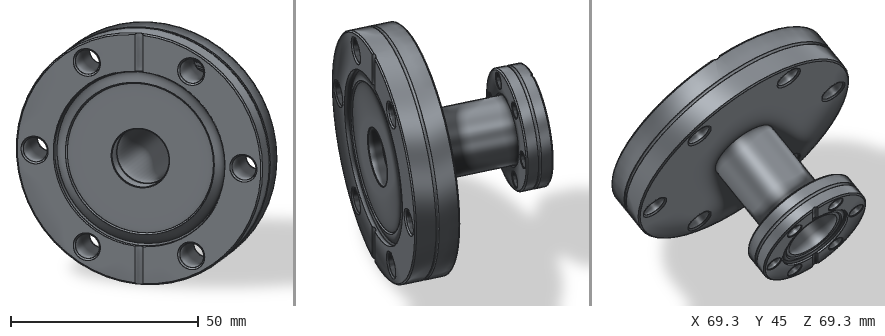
import cadquery as cq
import math

overall_length = 45.0

tube_diameter = 19.05
tube_bore = 15.75
tube_socket_diameter = 16.0
tube_socket_depth = 5.0
bore_chamfer = 0.2

relief_diameter = 19.41
relief_depth = 1.5
relief_chamfer = 0.4

bolt_count = 6
rim_chamfer = 0.4

large_diameter = 69.3
large_thickness = 12.7
large_bolt_circle = 58.7
large_bolt_hole = 6.73
large_bolt_start_angle = 0.0
large_hole_chamfer = 0.45
large_recess = 48.26
large_knife_edge = 41.9
large_rim_groove_width = 0.9
large_leak_groove_width = 2.3

small_diameter = 33.7
small_thickness = 7.6
small_bolt_circle = 27.0
small_bolt_hole = 4.37
small_bolt_start_angle = 0.0
small_hole_chamfer = 0.2
small_recess = 21.41
small_knife_edge = 18.3
small_rim_groove_width = 0.9
small_leak_groove_width = 1.8

rim_groove_depth = 0.35
leak_groove_depth = 0.6

knife_edge_depth = 0.7
floor_depth = 1.1
cone_slope = 20.0
recess_corner = 0.5
knife_edge_wall = 0.4


def revolve_about_y(points):
    """Turn a closed (radius, Y) outline about the Y axis."""
    return cq.Workplane("XY").polyline(points).close().revolve(360, (0, 0, 0), (0, 1, 0))


def cylinder(diameter, start, length):
    """Cylinder on the Y axis from Y = start to Y = start + length."""
    return cq.Workplane("XZ", origin=(0, start, 0)).circle(diameter / 2).extrude(-length)


def rim_groove(diameter, thickness, width):
    """Shallow round-bottomed groove round the middle of the flange rim."""
    radius = diameter / 2
    middle = thickness / 2
    return (
        cq.Workplane("XY")
        .moveTo(radius, middle - width / 2)
        .threePointArc((radius - rim_groove_depth, middle), (radius, middle + width / 2))
        .close()
        .revolve(360, (0, 0, 0), (0, 1, 0))
    )


def sealing_recess(recess_diameter, knife_diameter):
    """Material removed from the face to leave the ring-shaped knife edge."""
    wall = recess_diameter / 2
    knife = knife_diameter / 2
    cone_foot = wall - recess_corner
    foot_depth = knife_edge_depth + (cone_foot - knife) * math.tan(math.radians(cone_slope))
    return revolve_about_y([
        (0, 0),
        (wall, 0),
        (wall, foot_depth - recess_corner),
        (cone_foot, foot_depth),
        (knife, knife_edge_depth),
        (knife - knife_edge_wall, floor_depth),
        (0, floor_depth),
    ])


def leak_grooves(diameter, width):
    """Round-bottomed groove across the face along Z; the recess splits it in two."""
    depth = leak_groove_depth
    radius = ((width / 2) ** 2 + depth ** 2) / (2 * depth)
    return (
        cq.Workplane("XY", origin=(0, 0, -diameter / 2))
        .center(0, depth - radius)
        .circle(radius)
        .extrude(diameter)
    )


def bolt_hole(diameter, thickness, chamfer):
    """Through hole with a chamfer at each end."""
    radius = diameter / 2
    return revolve_about_y([
        (0, 0),
        (radius + chamfer, 0),
        (radius, chamfer),
        (radius, thickness - chamfer),
        (radius + chamfer, thickness),
        (0, thickness),
    ])


def flange(diameter, thickness, circle, hole, start_angle, hole_chamfer,
           recess, knife, groove_width, leak_width):
    """Flange with its sealing face at Y = 0 and its back at Y = thickness."""
    body = cylinder(diameter, 0, thickness).faces("<Y or >Y").chamfer(rim_chamfer)
    body = body.cut(rim_groove(diameter, thickness, groove_width))
    body = body.cut(leak_grooves(diameter, leak_width))
    body = body.cut(sealing_recess(recess, knife))
    cutter = bolt_hole(hole, thickness, hole_chamfer)
    for index in range(bolt_count):
        angle = math.radians(start_angle + index * 360 / bolt_count)
        x = circle / 2 * math.cos(angle)
        z = circle / 2 * math.sin(angle)
        body = body.cut(cutter.translate((x, 0, z)))
    return body


def tube_relief(back):
    """Blind clearance for the tube end, sunk from Y = back, with a chamfered mouth."""
    radius = relief_diameter / 2
    return revolve_about_y([
        (0, back),
        (radius + relief_chamfer, back),
        (radius, back + relief_chamfer),
        (radius, back + relief_depth),
        (0, back + relief_depth),
    ])


def through_bore():
    """Bore from the recess floor to the far end, wider where the tube sits in the large flange."""
    socket = tube_socket_diameter / 2
    return revolve_about_y([
        (0, floor_depth),
        (socket + bore_chamfer, floor_depth),
        (socket, floor_depth + bore_chamfer),
        (socket, tube_socket_depth),
        (tube_bore / 2, tube_socket_depth),
        (tube_bore / 2, overall_length),
        (0, overall_length),
    ])


large_flange = flange(
    large_diameter, large_thickness, large_bolt_circle, large_bolt_hole,
    large_bolt_start_angle, large_hole_chamfer, large_recess, large_knife_edge,
    large_rim_groove_width, large_leak_groove_width,
)
small_flange = flange(
    small_diameter, small_thickness, small_bolt_circle, small_bolt_hole,
    small_bolt_start_angle, small_hole_chamfer, small_recess, small_knife_edge,
    small_rim_groove_width, small_leak_groove_width,
)
small_flange = small_flange.rotate((0, 0, 0), (0, 0, 1), 180).translate((0, overall_length, 0))

small_back = overall_length - small_thickness
tube_start = large_thickness / 2
tube = cylinder(tube_diameter, tube_start, small_back + relief_depth - tube_start)

result = small_flange.cut(tube_relief(small_back)).union(large_flange).union(tube).cut(through_bore())